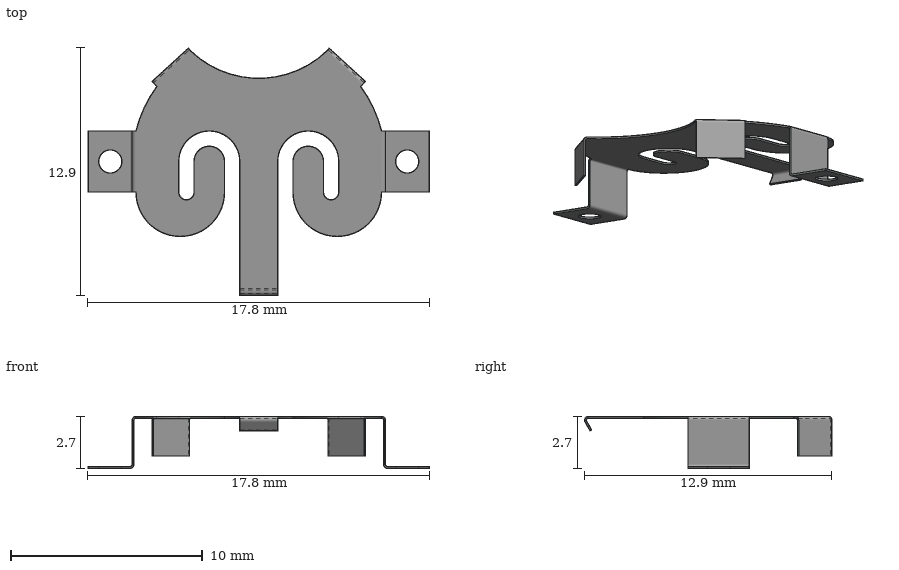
import cadquery as cq
import math

thickness = 0.1
inner_bend_radius = 0.1
outer_bend_radius = inner_bend_radius + thickness
mid_bend_radius = inner_bend_radius + thickness / 2

overall_length = 17.78
overall_height = 2.7
plate_mid_z = overall_height - thickness / 2

side_x = 6.4
foot_width = 3.2
side_end_y = foot_width / 2
disc_radius = math.hypot(side_x, side_end_y)
top_notch_bottom_y = 4.34

finger_width = 2.0
finger_half = finger_width / 2
finger_end_y = -6.99
slot_width = 0.78
slot_outer_radius = 1.58
slot_inner_radius = slot_outer_radius - slot_width
slot_center_x = finger_half + slot_outer_radius
slot_far_x = slot_center_x + slot_outer_radius
slot_end_x = slot_far_x - slot_width / 2
lobe_inner_x = finger_half + slot_width
lobe_radius = (side_x - lobe_inner_x) / 2
lobe_center_x = side_x - lobe_radius
lobe_y = -side_end_y

lip_bend_angle = 120
lip_length = 0.52

tab_azimuth = 47.5
tab_width = 2.56
tab_bend_distance = 6.63
tab_bottom_z = 0.64

hole_diameter = 1.2
hole_x = 7.73


def corner_point(outward, sideways):
    """Plan position measured along and across the right corner tab direction."""
    angle = math.radians(tab_azimuth)
    x = outward * math.cos(angle) - sideways * math.sin(angle)
    y = outward * math.sin(angle) + sideways * math.cos(angle)
    return x, y


def mirrored(point):
    return -point[0], point[1]


def make_plate():
    """Flat plate up to its bend lines."""
    tab_half = tab_width / 2
    tab_root = corner_point(math.sqrt(disc_radius**2 - tab_half**2), -tab_half)
    tab_lower = corner_point(tab_bend_distance, -tab_half)
    tab_upper = corner_point(tab_bend_distance, tab_half)

    root_angle = math.atan2(tab_root[1], tab_root[0])
    middle_angle = (math.atan2(side_end_y, side_x) + root_angle) / 2
    disc_middle = (disc_radius * math.cos(middle_angle), disc_radius * math.sin(middle_angle))

    outline = (
        cq.Workplane("XY", origin=(0, 0, overall_height - thickness))
        .moveTo(side_x, lobe_y)
        .lineTo(side_x, side_end_y)
        .threePointArc(disc_middle, tab_root)
        .lineTo(*tab_lower)
        .lineTo(*tab_upper)
        .threePointArc((0, top_notch_bottom_y), mirrored(tab_upper))
        .lineTo(*mirrored(tab_lower))
        .lineTo(*mirrored(tab_root))
        .threePointArc(mirrored(disc_middle), (-side_x, side_end_y))
        .lineTo(-side_x, lobe_y)
        .threePointArc((-lobe_center_x, lobe_y - lobe_radius), (-lobe_inner_x, lobe_y))
        .lineTo(-lobe_inner_x, 0)
        .threePointArc((-slot_center_x, slot_inner_radius), (slot_width - slot_far_x, 0))
        .lineTo(slot_width - slot_far_x, lobe_y)
        .threePointArc((-slot_end_x, lobe_y - slot_width / 2), (-slot_far_x, lobe_y))
        .lineTo(-slot_far_x, 0)
        .threePointArc((-slot_center_x, slot_outer_radius), (-finger_half, 0))
        .lineTo(-finger_half, finger_end_y + outer_bend_radius)
        .lineTo(finger_half, finger_end_y + outer_bend_radius)
        .lineTo(finger_half, 0)
        .threePointArc((slot_center_x, slot_outer_radius), (slot_far_x, 0))
        .lineTo(slot_far_x, lobe_y)
        .threePointArc((slot_end_x, lobe_y - slot_width / 2), (slot_far_x - slot_width, lobe_y))
        .lineTo(slot_far_x - slot_width, 0)
        .threePointArc((slot_center_x, slot_inner_radius), (lobe_inner_x, 0))
        .lineTo(lobe_inner_x, lobe_y)
        .threePointArc((lobe_center_x, lobe_y - lobe_radius), (side_x, lobe_y))
        .close()
    )
    return outline.extrude(thickness)


def bent_strip(bend_distance, moves, width, azimuth):
    """Strip starting level at a plate bend line and heading outward.

    Each move is ("bend", degrees), positive upward, or ("straight", length).
    """
    half = thickness / 2
    u, z, heading = bend_distance, plate_mid_z, 0.0
    strip = None
    for kind, amount in moves:
        along = (math.cos(heading), math.sin(heading))
        left = (-along[1], along[0])
        profile = cq.Workplane("XZ").moveTo(u + half * left[0], z + half * left[1])
        if kind == "straight":
            u += amount * along[0]
            z += amount * along[1]
            profile = (
                profile.lineTo(u + half * left[0], z + half * left[1])
                .lineTo(u - half * left[0], z - half * left[1])
                .lineTo(u - half * left[0] - amount * along[0], z - half * left[1] - amount * along[1])
            )
        else:
            turn = math.radians(amount)
            signed_radius = math.copysign(mid_bend_radius, turn)
            center_u = u + signed_radius * left[0]
            center_z = z + signed_radius * left[1]

            def bend_point(angle, offset):
                reach = signed_radius - offset
                return center_u + reach * math.sin(angle), center_z - reach * math.cos(angle)

            middle = heading + turn / 2
            end = heading + turn
            profile = (
                profile.threePointArc(bend_point(middle, half), bend_point(end, half))
                .lineTo(*bend_point(end, -half))
                .threePointArc(bend_point(middle, -half), bend_point(heading, -half))
            )
            u, z = bend_point(end, 0)
            heading = end
        piece = profile.close().extrude(width / 2, both=True)
        strip = piece if strip is None else strip.union(piece)
    return strip.rotate((0, 0, 0), (0, 0, 1), azimuth)


wall_height = overall_height - 2 * outer_bend_radius
foot_length = overall_length / 2 - side_x - 2 * mid_bend_radius
foot_moves = [("bend", -90), ("straight", wall_height), ("bend", 90), ("straight", foot_length)]

tab_drop = overall_height - outer_bend_radius - tab_bottom_z
tab_moves = [("bend", -90), ("straight", tab_drop)]

lip_moves = [("bend", -lip_bend_angle), ("straight", lip_length)]
lip_bend_distance = -finger_end_y - outer_bend_radius

result = make_plate()
for azimuth in (0, 180):
    result = result.union(bent_strip(side_x, foot_moves, foot_width, azimuth))
for azimuth in (tab_azimuth, 180 - tab_azimuth):
    result = result.union(bent_strip(tab_bend_distance, tab_moves, tab_width, azimuth))
result = result.union(bent_strip(lip_bend_distance, lip_moves, finger_width, -90))

holes = (
    cq.Workplane("XY")
    .pushPoints([(-hole_x, 0), (hole_x, 0)])
    .circle(hole_diameter / 2)
    .extrude(thickness)
)
result = result.cut(holes)